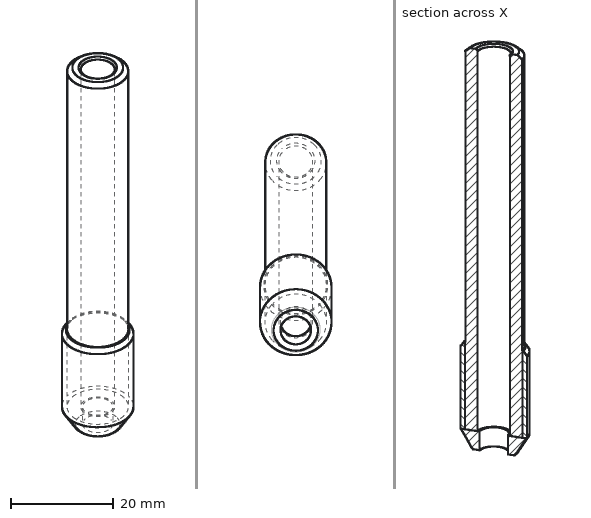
import cadquery as cq

TOTAL_LENGTH = 85.0

SLEEVE_DIAMETER = 14.0
SLEEVE_TOP = 22.5
SLEEVE_CHAMFER_HEIGHT = 1.0
SLEEVE_RIM_WIDTH = 0.25

NOSE_HEIGHT = 4.1
NOSE_DIAMETER = 9.5
NOSE_EDGE_CHAMFER = 0.4
NOSE_HOLE_DIAMETER = 5.95

TUBE_DIAMETER = 12.0
BORE_DIAMETER = 6.6
TUBE_CHAMFER_HEIGHT = 0.85
TUBE_CHAMFER_WIDTH = 1.0
BORE_CHAMFER = 0.4

SLEEVE_RADIUS = SLEEVE_DIAMETER / 2
TUBE_RADIUS = TUBE_DIAMETER / 2


def revolve_profile(points):
    """Spin a closed (radius, height) profile around the Z axis."""
    return cq.Workplane("XZ").polyline(points).close().revolve(360, (0, 0), (0, 1))


def make_nose():
    """Truncated cone that widens upward to the sleeve diameter."""
    hole_radius = NOSE_HOLE_DIAMETER / 2
    bottom_radius = NOSE_DIAMETER / 2
    return revolve_profile([
        (hole_radius, 0),
        (bottom_radius - NOSE_EDGE_CHAMFER, 0),
        (bottom_radius, NOSE_EDGE_CHAMFER),
        (SLEEVE_RADIUS, NOSE_HEIGHT),
        (hole_radius, NOSE_HEIGHT),
    ])


def make_sleeve():
    """Ring around the tube, with a narrow flat rim above its top chamfer."""
    return revolve_profile([
        (TUBE_RADIUS, NOSE_HEIGHT),
        (SLEEVE_RADIUS, NOSE_HEIGHT),
        (SLEEVE_RADIUS, SLEEVE_TOP - SLEEVE_CHAMFER_HEIGHT),
        (TUBE_RADIUS + SLEEVE_RIM_WIDTH, SLEEVE_TOP),
        (TUBE_RADIUS, SLEEVE_TOP),
    ])


def make_tube():
    """Hollow shank with its top edge chamfered outside and inside."""
    bore_radius = BORE_DIAMETER / 2
    return revolve_profile([
        (bore_radius, NOSE_HEIGHT),
        (TUBE_RADIUS, NOSE_HEIGHT),
        (TUBE_RADIUS, TOTAL_LENGTH - TUBE_CHAMFER_HEIGHT),
        (TUBE_RADIUS - TUBE_CHAMFER_WIDTH, TOTAL_LENGTH),
        (bore_radius + BORE_CHAMFER, TOTAL_LENGTH),
        (bore_radius, TOTAL_LENGTH - BORE_CHAMFER),
    ])


nose = make_nose()
sleeve = make_sleeve()
tube = make_tube()

result = cq.Compound.makeCompound([nose.val(), sleeve.val(), tube.val()])